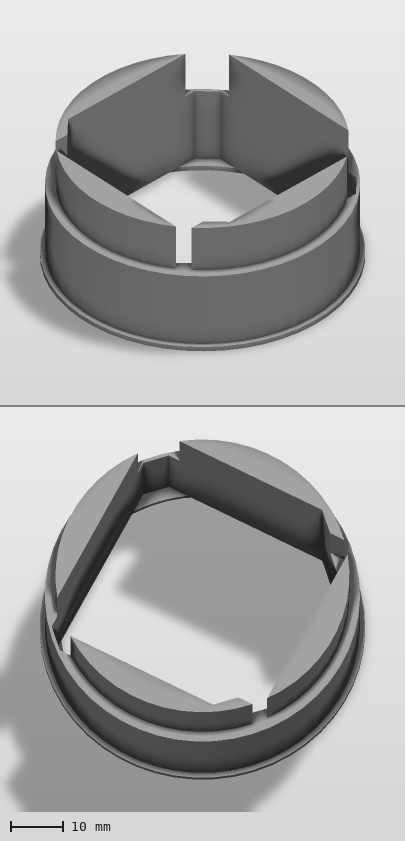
import cadquery as cq

flange_diameter = 62.0
body_diameter = 60.0
collar_diameter = 56.0
lip_diameter = 54.0
flange_height = 1.0
shoulder_height = 17.0
total_height = 27.0

opening_width = 45.0
rear_corner_cut = 3.6
front_corner_cut = 8.5
front_notch_width = 37.95

half_opening = opening_width / 2


def disc(diameter, bottom, top):
    """Upright cylinder on the Z axis between two heights."""
    return cq.Workplane("XY").workplane(offset=bottom).circle(diameter / 2).extrude(top - bottom)


def opening(bottom, top):
    """Square opening with small bevels at +Y and large bevels at -Y."""
    right_half = [
        (0, half_opening),
        (half_opening - rear_corner_cut, half_opening),
        (half_opening, half_opening - rear_corner_cut),
        (half_opening, front_corner_cut - half_opening),
        (half_opening - front_corner_cut, -half_opening),
        (0, -half_opening),
    ]
    half = cq.Workplane("XY").workplane(offset=bottom).polyline(right_half).close().extrude(top - bottom)
    return half.union(half.mirror("YZ"))


def front_notch():
    """Clears the collar in front of the large bevels, down to the shoulder."""
    return cq.Workplane("XY").box(
        front_notch_width, half_opening, total_height - shoulder_height, centered=(True, False, False)
    ).translate((0, -half_opening, shoulder_height))


outside = (
    disc(flange_diameter, 0, flange_height)
    .union(disc(body_diameter, flange_height, shoulder_height))
    .union(disc(collar_diameter, shoulder_height, total_height))
)

result = (
    outside
    .cut(opening(flange_height, total_height))
    .cut(disc(lip_diameter, 0, flange_height))
    .cut(front_notch())
)